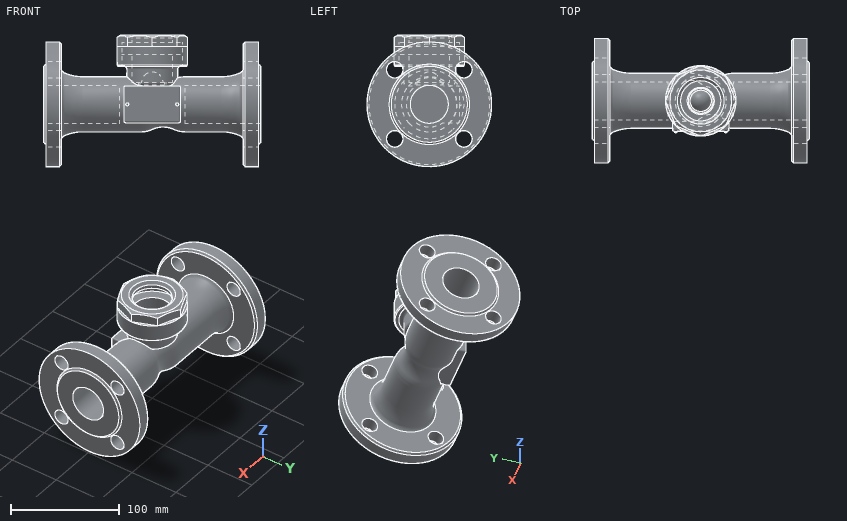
import cadquery as cq
import math

LENGTH = 200.0

FLANGE_DIAMETER = 115.0
FLANGE_THICKNESS = 14.5
FLANGE_CHAMFER = 2.0
RAISED_FACE_DIAMETER = 74.0
RAISED_FACE_HEIGHT = 2.0
BOLT_CIRCLE_DIAMETER = 90.0
BOLT_HOLE_DIAMETER = 15.0
BOLT_COUNT = 4

PIPE_DIAMETER = 51.0
PIPE_BORE_DIAMETER = 35.0
BORE_END_X = 30.0
FLARE_START_X = 64.0
FLARE_LENGTH = 16.5
FLARE_END_RADIUS = 28.8
FLARE_ROOT_FILLET = 3.0

WAIST_X = 10.0
WAIST_HALF_LENGTH = 20.0
WAIST_RADIUS = 21.0

NECK_DIAMETER = 47.0
COLLAR_DIAMETER = 56.0
COLLAR_BOTTOM_Z = 35.0
COLLAR_TOP_Z = 46.0
COLLAR_FILLET = 3.0
NECK_BOTTOM_ROUND = 3.0

CHAMBER_DIAMETER = 37.0
CHAMBER_FLOOR_Z = 20.0
GROOVE_DIAMETER = 25.0
GROOVE_DEPTH = 2.0
POST_DIAMETER = 23.0
DOME_RADIUS = 9.8

PAD_WIDTH = 52.0
PAD_HEIGHT = 34.0
PAD_FACE_Y = -28.0
PAD_FILLET = 1.5
RIVET_RADIUS = 1.5
RIVET_X = 23.0

NUT_DIAMETER = 65.0
NUT_SIDES = 8
NUT_TOP_Z = 64.0
NUT_BOTTOM_CHAMFER = 1.0
OCTAGON_HEIGHT = 11.0
OCTAGON_TOP_DIAMETER = 57.0
OCTAGON_CHAMFER_ANGLE = 30.0
NUT_CEILING_Z = 57.0
NUT_OPENING_DIAMETER = 37.0
NUT_OPENING_CHAMFER = 3.0

END_X = LENGTH / 2
FLANGE_FRONT_X = END_X - RAISED_FACE_HEIGHT
FLANGE_BACK_X = FLANGE_FRONT_X - FLANGE_THICKNESS
PIPE_RADIUS = PIPE_DIAMETER / 2
NECK_RADIUS = NECK_DIAMETER / 2
PAD_TOP_Z = PAD_HEIGHT / 2


def upright_cylinder(diameter, bottom_z, top_z):
    """Cylinder on the Z axis."""
    return cq.Workplane("XY").workplane(offset=bottom_z).circle(diameter / 2).extrude(top_z - bottom_z)


def spin_about_z(outline):
    """Revolve a closed XZ outline about the Z axis."""
    return outline.close().revolve(360, (0, 0, 0), (0, 1, 0))


def spin_about_x(outline):
    """Revolve a closed XY outline about the X axis."""
    return outline.close().revolve(360, (0, 0, 0), (1, 0, 0))


def pipe_run():
    """Plain pipe with a waist that dips and rises in tangent arcs."""
    start_x = WAIST_X - WAIST_HALF_LENGTH
    end_x = WAIST_X + WAIST_HALF_LENGTH
    quarter = WAIST_HALF_LENGTH / 2
    flank_radius = (PIPE_RADIUS + WAIST_RADIUS) / 2
    outline = (
        cq.Workplane("XY")
        .moveTo(-FLARE_START_X, 0)
        .lineTo(-FLARE_START_X, PIPE_RADIUS)
        .lineTo(start_x, PIPE_RADIUS)
        .tangentArcPoint((start_x + quarter, flank_radius), relative=False)
        .tangentArcPoint((WAIST_X, WAIST_RADIUS), relative=False)
        .tangentArcPoint((end_x - quarter, flank_radius), relative=False)
        .tangentArcPoint((end_x, PIPE_RADIUS), relative=False)
        .lineTo(FLARE_START_X, PIPE_RADIUS)
        .lineTo(FLARE_START_X, 0)
    )
    return spin_about_x(outline)


def flanged_end():
    """Flared pipe end, flange and raised face at the +X end."""
    flange_radius = FLANGE_DIAMETER / 2
    face_radius = RAISED_FACE_DIAMETER / 2
    flare_end_x = FLARE_START_X + FLARE_LENGTH
    outline = (
        cq.Workplane("XY")
        .moveTo(WAIST_X + WAIST_HALF_LENGTH, 0)
        .lineTo(WAIST_X + WAIST_HALF_LENGTH, PIPE_RADIUS)
        .lineTo(FLARE_START_X, PIPE_RADIUS)
        .tangentArcPoint((flare_end_x, FLARE_END_RADIUS), relative=False)
        .tangentArcPoint((FLANGE_BACK_X, FLARE_END_RADIUS + FLARE_ROOT_FILLET), relative=False)
        .lineTo(FLANGE_BACK_X, flange_radius - FLANGE_CHAMFER)
        .lineTo(FLANGE_BACK_X + FLANGE_CHAMFER, flange_radius)
        .lineTo(FLANGE_FRONT_X, flange_radius)
        .lineTo(FLANGE_FRONT_X, face_radius)
        .lineTo(END_X, face_radius - RAISED_FACE_HEIGHT)
        .lineTo(END_X, 0)
    )
    bolt_holes = (
        cq.Workplane("YZ", origin=(FLANGE_BACK_X, 0, 0))
        .polarArray(BOLT_CIRCLE_DIAMETER / 2, 180 / BOLT_COUNT, 360, BOLT_COUNT)
        .circle(BOLT_HOLE_DIAMETER / 2)
        .extrude(FLANGE_THICKNESS)
    )
    return spin_about_x(outline).cut(bolt_holes)


def neck():
    """Neck standing level with the pad top, round at its foot, with the collar that carries the nut."""
    collar_radius = COLLAR_DIAMETER / 2
    outline = (
        cq.Workplane("XZ")
        .moveTo(0, PAD_TOP_Z)
        .lineTo(NECK_RADIUS - NECK_BOTTOM_ROUND, PAD_TOP_Z)
        .tangentArcPoint((NECK_RADIUS, PAD_TOP_Z + NECK_BOTTOM_ROUND), relative=False)
        .lineTo(NECK_RADIUS, COLLAR_BOTTOM_Z - COLLAR_FILLET)
        .tangentArcPoint((NECK_RADIUS + COLLAR_FILLET, COLLAR_BOTTOM_Z), relative=False)
        .lineTo(collar_radius, COLLAR_BOTTOM_Z)
        .lineTo(collar_radius, COLLAR_TOP_Z)
        .lineTo(0, COLLAR_TOP_Z)
    )
    return spin_about_z(outline)


def pad():
    """Rounded pad with two rivets on its face."""
    plate = (
        cq.Workplane("XY")
        .box(PAD_WIDTH, -PAD_FACE_Y, PAD_HEIGHT)
        .translate((0, PAD_FACE_Y / 2, 0))
        .edges("<Y or |Y")
        .fillet(PAD_FILLET)
    )
    for side in (-1, 1):
        rivet = cq.Workplane("XY").sphere(RIVET_RADIUS).translate((side * RIVET_X, PAD_FACE_Y, 0))
        plate = plate.union(rivet)
    return plate


def chamber():
    """Space inside the neck, to be removed from the body."""
    groove_floor_z = CHAMBER_FLOOR_Z - GROOVE_DEPTH
    room = upright_cylinder(CHAMBER_DIAMETER, CHAMBER_FLOOR_Z, COLLAR_TOP_Z)
    groove = upright_cylinder(GROOVE_DIAMETER, groove_floor_z, CHAMBER_FLOOR_Z)
    post = upright_cylinder(POST_DIAMETER, groove_floor_z, CHAMBER_FLOOR_Z)
    dome = cq.Workplane("XY").sphere(DOME_RADIUS).translate((0, 0, CHAMBER_FLOOR_Z))
    return room.union(groove).cut(post).cut(dome)


def make_body():
    """Flanged pipe with its neck and pad."""
    body = pipe_run().union(neck()).union(pad())
    body = body.union(flanged_end()).union(flanged_end().mirror("YZ"))
    body = body.cut(chamber())
    for end_x in (-END_X, BORE_END_X):
        bore = (
            cq.Workplane("YZ", origin=(end_x, 0, 0))
            .circle(PIPE_BORE_DIAMETER / 2)
            .extrude(END_X - BORE_END_X)
        )
        body = body.cut(bore)
    return body


def make_nut():
    """Round nut with an octagonal top, screwed over the collar."""
    nut_radius = NUT_DIAMETER / 2
    octagon_bottom_z = NUT_TOP_Z - OCTAGON_HEIGHT
    lower_part = (
        upright_cylinder(NUT_DIAMETER, COLLAR_BOTTOM_Z, octagon_bottom_z)
        .faces("<Z")
        .chamfer(NUT_BOTTOM_CHAMFER)
    )
    octagon = (
        cq.Workplane("XY")
        .workplane(offset=octagon_bottom_z)
        .polygon(NUT_SIDES, NUT_DIAMETER)
        .extrude(OCTAGON_HEIGHT)
    )
    top_radius = OCTAGON_TOP_DIAMETER / 2
    corner_drop = (nut_radius - top_radius) * math.tan(math.radians(OCTAGON_CHAMFER_ANGLE))
    chamfer_envelope = spin_about_z(
        cq.Workplane("XZ")
        .moveTo(0, octagon_bottom_z)
        .lineTo(nut_radius, octagon_bottom_z)
        .lineTo(nut_radius, NUT_TOP_Z - corner_drop)
        .lineTo(top_radius, NUT_TOP_Z)
        .lineTo(0, NUT_TOP_Z)
    )
    opening_radius = NUT_OPENING_DIAMETER / 2
    hollow = spin_about_z(
        cq.Workplane("XZ")
        .moveTo(0, COLLAR_BOTTOM_Z)
        .lineTo(COLLAR_DIAMETER / 2, COLLAR_BOTTOM_Z)
        .lineTo(COLLAR_DIAMETER / 2, NUT_CEILING_Z)
        .lineTo(opening_radius, NUT_CEILING_Z)
        .lineTo(opening_radius, NUT_TOP_Z - NUT_OPENING_CHAMFER)
        .lineTo(opening_radius + NUT_OPENING_CHAMFER, NUT_TOP_Z)
        .lineTo(0, NUT_TOP_Z)
    )
    return lower_part.union(octagon.intersect(chamfer_envelope)).cut(hollow)


body = make_body()
nut = make_nut()

result = cq.Compound.makeCompound([body.solids().val(), nut.solids().val()])